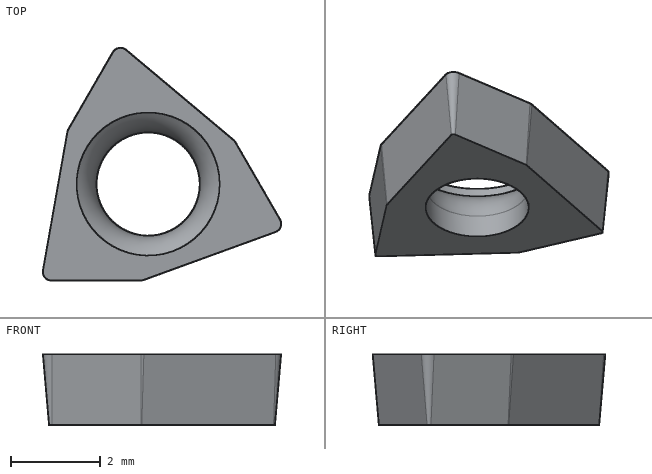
import cadquery as cq
import math

thickness = 1.59
relief_angle = 5

corner_count = 3
corner_pitch = 360 / corner_count
flank_break = 20
short_flank_distance = 2.165
long_flank_distance = 1.985
corner_radius = 0.2

seat_radius = 1.6
bore_radius = 1.155
seat_top_depth = 0.205
seat_bottom_depth = 1.035


def flank_crossing(angle_a, distance_a, angle_b, distance_b):
    """Point where two lines cross, each given by its normal's angle and its distance from the axis."""
    a = math.radians(angle_a)
    b = math.radians(angle_b)
    turn = math.sin(b - a)
    x = (distance_a * math.sin(b) - distance_b * math.sin(a)) / turn
    y = (distance_b * math.cos(a) - distance_a * math.cos(b)) / turn
    return x, y


def outline_points():
    points = []
    for i in range(corner_count):
        short_normal = -90 + i * corner_pitch
        long_normal = short_normal + flank_break
        next_short_normal = short_normal + corner_pitch
        points.append(flank_crossing(short_normal, short_flank_distance, long_normal, long_flank_distance))
        points.append(flank_crossing(long_normal, long_flank_distance, next_short_normal, short_flank_distance))
    return points


def make_body():
    prism = cq.Workplane("XY").polyline(outline_points()).close().extrude(-thickness)
    rounded = prism.edges("|Z").fillet(corner_radius)
    top_outline = rounded.faces(">Z").wires().val()
    return cq.Workplane("XY").add(top_outline).toPending().extrude(-thickness, taper=relief_angle)


def make_hole():
    seat_step = seat_radius - bore_radius
    seat_drop = seat_bottom_depth - seat_top_depth
    arc_angle = 2 * math.atan2(seat_step, seat_drop)
    arc_radius = seat_drop / math.sin(arc_angle)
    arc_middle = (
        bore_radius + arc_radius * (1 - math.cos(arc_angle / 2)),
        -seat_bottom_depth + arc_radius * math.sin(arc_angle / 2),
    )
    return (
        cq.Workplane("XZ")
        .lineTo(seat_radius, 0)
        .lineTo(seat_radius, -seat_top_depth)
        .threePointArc(arc_middle, (bore_radius, -seat_bottom_depth))
        .lineTo(bore_radius, -thickness)
        .lineTo(0, -thickness)
        .close()
        .revolve(360, (0, 0), (0, 1))
    )


result = make_body().cut(make_hole())